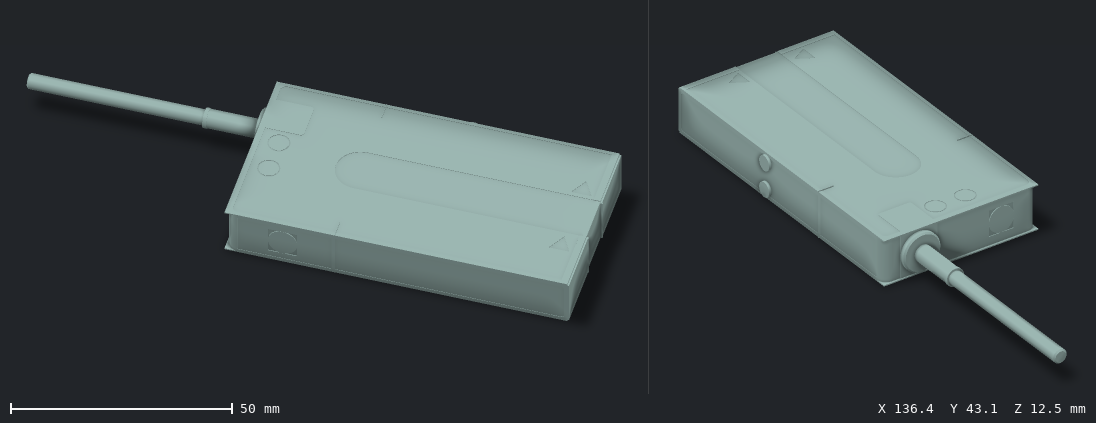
import cadquery as cq

HOUSING_WIDTH = 42.4
PLATE_LENGTH = 80.4
PLATE_THICKNESS = 0.3
PLATE_TOP = 6.0
BODY_START = 0.5
BODY_CORNER_RADIUS = 2.5
BODY_HALF_HEIGHT = PLATE_TOP - PLATE_THICKNESS
HALF_WIDTH = HOUSING_WIDTH / 2

PANEL_DEPTH = 0.1
PANEL_START = 1.4
PANEL_SIDE_MARGIN = 0.85
PANEL_CORNER_RADIUS = 1.5
PANEL_END = 78.8

SLOT_WIDTH = 11.5
SLOT_TIP_X = 20.0
SLOT_DEPTH = 0.2

CAP_END = 80.8
CAP_HALF_HEIGHT = 5.6
RIDGE_END = 80.98
RIDGE_THICKNESS = 0.3

CABLE_Y = 11.4
CABLE_DIAMETER = 3.7
CABLE_TIP_X = -55.4
CABLE_TIP_CHAMFER = 0.4
GLAND_DIAMETER = 4.5
GLAND_START = -14.0
COLLAR_DIAMETER = 4.75
COLLAR_LENGTH = 0.9
FLANGE_DIAMETER = 10.2
FLANGE_START = -1.2
FLANGE_CHAMFER = 0.4
GLAND_PAD_START = 0.3

PATCH_END = 10.4
PATCH_WIDTH = 9.1
PATCH_Y = 11.25
PATCH_CORNER_RADIUS = 0.7

INDICATOR_X = 5.75
INDICATOR_YS = (3.05, -5.15)
INDICATOR_OUTER_DIAMETER = 5.2
INDICATOR_INNER_DIAMETER = 4.6
ENGRAVING_DEPTH = 0.1

ARROW_X = 75.6
ARROW_BASE_YS = (6.75, -11.2)
ARROW_WIDTH = 4.8
ARROW_HEIGHT = 4.2

WINDOW_SIZE = 6.9
WINDOW_DEPTH = 0.2
FRONT_WINDOW_X = 13.6
END_WINDOW_Y = -11.45

SIDE_PANEL_DEPTH = 0.1
SIDE_PANEL_START = BODY_START + BODY_CORNER_RADIUS
SIDE_PANEL_END = 79.6
SIDE_PANEL_HALF_HEIGHT = 5.05
SIDE_PANEL_CORNER_RADIUS = 0.7

RIB_START = 25.1
CLIP_START = 25.8
CLIP_THICKNESS = 0.1
CLIP_REACH = 4.2
CLIP_HALF_HEIGHT = 6.24

STUD_X = 46.15
STUD_Z = 3.5
STUD_DIAMETER = 3.9
STUD_HEIGHT = 0.7


def block(x_range, y_range, z_range):
    """Box between the given limits on each axis."""
    size = [high - low for low, high in (x_range, y_range, z_range)]
    corner = (x_range[0], y_range[0], z_range[0])
    return cq.Workplane("XY").box(*size, centered=False).translate(corner)


def cable_cylinder(diameter, x_start, x_end):
    """Cylinder on the cable axis."""
    plane = cq.Workplane("YZ", origin=(x_start, CABLE_Y, 0))
    return plane.circle(diameter / 2).extrude(x_end - x_start)


def make_housing():
    """Body with rounded cable-side corners between the two cover plates."""
    full_width = (-HALF_WIDTH, HALF_WIDTH)
    body = block((BODY_START, PLATE_LENGTH), full_width, (-BODY_HALF_HEIGHT, BODY_HALF_HEIGHT))
    body = body.edges("|Z and <X").fillet(BODY_CORNER_RADIUS)
    for z_low in (BODY_HALF_HEIGHT, -PLATE_TOP):
        body = body.union(block((0, PLATE_LENGTH), full_width, (z_low, z_low + PLATE_THICKNESS)))
    return body


def make_panel():
    """Cutter for the upper sunken panel, leaving the cable patch standing."""
    half_width = HALF_WIDTH - PANEL_SIDE_MARGIN
    z_range = (PLATE_TOP - PANEL_DEPTH, PLATE_TOP)
    panel = block((PANEL_START, PANEL_END), (-half_width, half_width), z_range)
    panel = panel.edges("|Z and <X").fillet(PANEL_CORNER_RADIUS)
    patch_y_range = (PATCH_Y - PATCH_WIDTH / 2, PATCH_Y + PATCH_WIDTH / 2)
    patch = block((0, PATCH_END), patch_y_range, z_range)
    patch = patch.edges("|Z and >X").fillet(PATCH_CORNER_RADIUS)
    return panel.cut(patch)


def make_slot():
    """Cutter for the round-ended slot on the upper face."""
    radius = SLOT_WIDTH / 2
    return (
        cq.Workplane("XY", origin=(0, 0, PLATE_TOP - SLOT_DEPTH))
        .moveTo(PLATE_LENGTH, -radius)
        .lineTo(SLOT_TIP_X + radius, -radius)
        .threePointArc((SLOT_TIP_X, 0), (SLOT_TIP_X + radius, radius))
        .lineTo(PLATE_LENGTH, radius)
        .close()
        .extrude(SLOT_DEPTH)
    )


def make_engravings():
    """Cutter for the indicator rings and arrow triangles on the upper panel."""
    plane = cq.Workplane("XY", origin=(0, 0, PLATE_TOP - PANEL_DEPTH - ENGRAVING_DEPTH))
    engravings = (
        plane.pushPoints([(INDICATOR_X, y) for y in INDICATOR_YS])
        .circle(INDICATOR_OUTER_DIAMETER / 2)
        .circle(INDICATOR_INNER_DIAMETER / 2)
        .extrude(ENGRAVING_DEPTH)
    )
    for base_y in ARROW_BASE_YS:
        corners = [
            (ARROW_X - ARROW_WIDTH / 2, base_y),
            (ARROW_X + ARROW_WIDTH / 2, base_y),
            (ARROW_X, base_y + ARROW_HEIGHT),
        ]
        engravings = engravings.union(plane.polyline(corners).close().extrude(ENGRAVING_DEPTH))
    return engravings


def make_window(plane):
    """Cutter for a square window around a round lens, sunk from the given plane."""
    frame = plane.rect(WINDOW_SIZE, WINDOW_SIZE).extrude(-WINDOW_DEPTH)
    lens = plane.circle(WINDOW_SIZE / 2).extrude(-WINDOW_DEPTH)
    return frame.cut(lens)


def make_end_cap():
    """End plates of the two arms, each with a thin ridge along its slot edge."""
    z_range = (-CAP_HALF_HEIGHT, CAP_HALF_HEIGHT)
    slot_edge = SLOT_WIDTH / 2
    arm = block((PLATE_LENGTH, CAP_END), (slot_edge, HALF_WIDTH), z_range)
    ridge = block((PLATE_LENGTH, RIDGE_END), (slot_edge - RIDGE_THICKNESS, slot_edge), z_range)
    arm = arm.union(ridge)
    return arm.union(arm.mirror("XZ"))


def make_cable():
    """Cable, gland, collar and flange, with the pad that seats the flange on the body."""
    cable = cable_cylinder(CABLE_DIAMETER, CABLE_TIP_X, 0).faces("<X").chamfer(CABLE_TIP_CHAMFER)
    cable = cable.union(cable_cylinder(GLAND_DIAMETER, GLAND_START, 0))
    cable = cable.union(cable_cylinder(COLLAR_DIAMETER, GLAND_START, GLAND_START + COLLAR_LENGTH))
    flange = cable_cylinder(FLANGE_DIAMETER, FLANGE_START, BODY_START)
    cable = cable.union(flange.faces("<X").chamfer(FLANGE_CHAMFER))
    pad_y_range = (CABLE_Y - FLANGE_DIAMETER / 2, CABLE_Y + FLANGE_DIAMETER / 2)
    pad = block((GLAND_PAD_START, BODY_START), pad_y_range, (-BODY_HALF_HEIGHT, BODY_HALF_HEIGHT))
    return cable.union(pad)


def make_side_panels():
    """Cutter for the shallow panels on both long sides."""
    z_range = (-SIDE_PANEL_HALF_HEIGHT, SIDE_PANEL_HALF_HEIGHT)
    y_range = (HALF_WIDTH - SIDE_PANEL_DEPTH, HALF_WIDTH)
    near_panel = block((SIDE_PANEL_START, RIB_START), y_range, z_range)
    far_panel = block((CLIP_START + CLIP_THICKNESS, SIDE_PANEL_END), y_range, z_range)
    far_panel = far_panel.edges("|Y and >X").fillet(SIDE_PANEL_CORNER_RADIUS)
    panels = near_panel.union(far_panel)
    return panels.union(panels.mirror("XZ"))


def make_clips():
    """Thin clips standing proud of the cover plates at both long edges."""
    x_range = (CLIP_START, CLIP_START + CLIP_THICKNESS)
    z_range = (-CLIP_HALF_HEIGHT, CLIP_HALF_HEIGHT)
    clip = block(x_range, (HALF_WIDTH - CLIP_REACH, HALF_WIDTH), z_range)
    return clip.union(clip.mirror("XZ"))


def make_studs():
    """Pair of round studs on the +Y side."""
    plane = cq.Workplane("XZ", origin=(STUD_X, HALF_WIDTH, 0))
    return plane.pushPoints([(0, STUD_Z), (0, -STUD_Z)]).circle(STUD_DIAMETER / 2).extrude(-STUD_HEIGHT)


front_window_plane = cq.Workplane("XZ", origin=(FRONT_WINDOW_X, SIDE_PANEL_DEPTH - HALF_WIDTH, 0))
end_window_plane = cq.Workplane("ZY", origin=(BODY_START, END_WINDOW_Y, 0))

result = make_housing().cut(make_side_panels())
result = result.cut(make_panel()).cut(make_slot()).cut(make_engravings())
result = result.cut(make_window(front_window_plane)).cut(make_window(end_window_plane))
result = result.union(make_end_cap()).union(make_cable())
result = result.union(make_clips()).union(make_studs())